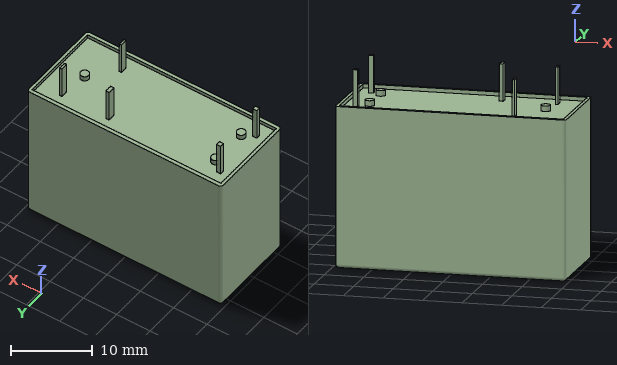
import cadquery as cq

LENGTH = 29.2
WIDTH = 12.8
TOTAL_HEIGHT = 24.6
PIN_PROJECTION = 4.2
CASE_HEIGHT = TOTAL_HEIGHT - PIN_PROJECTION

EDGE_RADIUS = 0.47
END_WALL = 0.45
SIDE_WALL = 0.53
RECESS_DEPTH = 0.5
FLOOR_Z = CASE_HEIGHT - RECESS_DEPTH

PIN_ROW_Y = 3.83
COIL_PIN_X = -12.59
COIL_PIN_SIDE = 0.6
CONTACT_PIN_PITCH = 3.5
FIRST_CONTACT_X = 3.95
CONTACT_PIN_WIDTH = 1.02
WIDE_PIN_THICKNESS = 0.5
THIN_PIN_THICKNESS = 0.32

STUD_DIAMETER = 1.2
STUD_PROJECTION = 0.2
PAIR_STUD_X = -11.13
PAIR_STUD_Y = 2.72
SINGLE_STUD_X = 10.42


def make_case():
    case = cq.Workplane("XY").box(LENGTH, WIDTH, CASE_HEIGHT, centered=(True, True, False))
    case = case.edges("|Z or <Z").fillet(EDGE_RADIUS)
    recess = (
        cq.Workplane("XY", origin=(0, 0, FLOOR_Z))
        .rect(LENGTH - 2 * END_WALL, WIDTH - 2 * SIDE_WALL)
        .extrude(RECESS_DEPTH)
    )
    return case.cut(recess)


def make_pin(x, y, thickness, width):
    return (
        cq.Workplane("XY", origin=(x, y, FLOOR_Z))
        .rect(thickness, width)
        .extrude(RECESS_DEPTH + PIN_PROJECTION)
    )


def make_studs():
    centers = [
        (PAIR_STUD_X, PAIR_STUD_Y),
        (PAIR_STUD_X, -PAIR_STUD_Y),
        (SINGLE_STUD_X, 0),
    ]
    return (
        cq.Workplane("XY", origin=(0, 0, FLOOR_Z))
        .pushPoints(centers)
        .circle(STUD_DIAMETER / 2)
        .extrude(RECESS_DEPTH + STUD_PROJECTION)
    )


second_contact_x = FIRST_CONTACT_X + CONTACT_PIN_PITCH
third_contact_x = second_contact_x + CONTACT_PIN_PITCH

pins = [
    (COIL_PIN_X, PIN_ROW_Y, COIL_PIN_SIDE, COIL_PIN_SIDE),
    (COIL_PIN_X, -PIN_ROW_Y, COIL_PIN_SIDE, COIL_PIN_SIDE),
    (FIRST_CONTACT_X, PIN_ROW_Y, WIDE_PIN_THICKNESS, CONTACT_PIN_WIDTH),
    (second_contact_x, -PIN_ROW_Y, THIN_PIN_THICKNESS, CONTACT_PIN_WIDTH),
    (third_contact_x, PIN_ROW_Y, THIN_PIN_THICKNESS, CONTACT_PIN_WIDTH),
]

result = make_case().union(make_studs())
for pin in pins:
    result = result.union(make_pin(*pin))